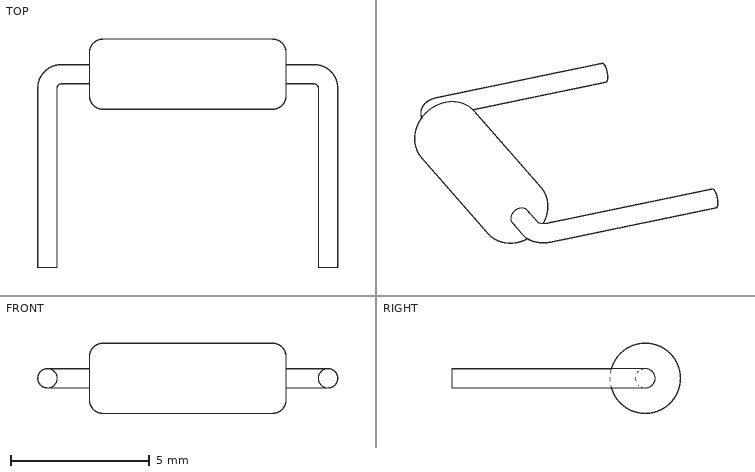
import cadquery as cq

overall_width = 10.86
body_length = 7.12
body_diameter = 2.55
body_edge_radius = 0.5
lead_diameter = 0.71
bend_radius = 0.5
lead_reach = 6.99

half_pitch = (overall_width - lead_diameter) / 2


def make_body():
    """Cylinder along X with rounded end rims, centred on the origin."""
    start = cq.Workplane("YZ").workplane(offset=-body_length / 2)
    body = start.circle(body_diameter / 2).extrude(body_length)
    return body.edges("%CIRCLE").fillet(body_edge_radius)


def make_lead():
    """Round wire that leaves the body along +X and bends towards -Y."""
    path = (
        cq.Workplane("XY")
        .lineTo(half_pitch - bend_radius, 0)
        .tangentArcPoint((half_pitch, -bend_radius), relative=False)
        .lineTo(half_pitch, -lead_reach)
    )
    return cq.Workplane("YZ").circle(lead_diameter / 2).sweep(path)


lead = make_lead()
result = make_body().union(lead).union(lead.mirror("YZ"))